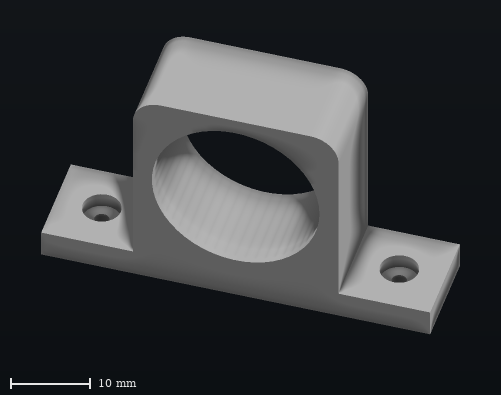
import cadquery as cq

length = 51.0
depth = 13.0
height = 30.0

base_thickness = 3.8

block_width = 27.0
corner_radius = 3.65
bore_diameter = 22.0
bore_height = 16.9

hole_spacing = 39.0
hole_diameter = 2.0
counterbore_diameter = 5.0
counterbore_depth = 2.0


def make_base():
    """Flat base with its underside on Z = 0."""
    return cq.Workplane("XY").box(length, depth, base_thickness, centered=(True, True, False))


def make_block():
    """Upright block with rounded upper corners."""
    block = cq.Workplane("XY").box(block_width, depth, height, centered=(True, True, False))
    return block.faces(">Z").edges("|Y").fillet(corner_radius)


def make_bore():
    """Cylinder along Y that passes through the block."""
    front_plane = cq.Workplane("XZ", origin=(0, -depth / 2, bore_height))
    return front_plane.circle(bore_diameter / 2).extrude(-depth)


def cut_screw_holes(body):
    """Cut a counterbored through hole from the top of each foot."""
    return (
        body
        .copyWorkplane(cq.Workplane("XY", origin=(0, 0, base_thickness)))
        .pushPoints([(-hole_spacing / 2, 0), (hole_spacing / 2, 0)])
        .cboreHole(hole_diameter, counterbore_diameter, counterbore_depth)
    )


body = make_base().union(make_block()).cut(make_bore())
result = cut_screw_holes(body)